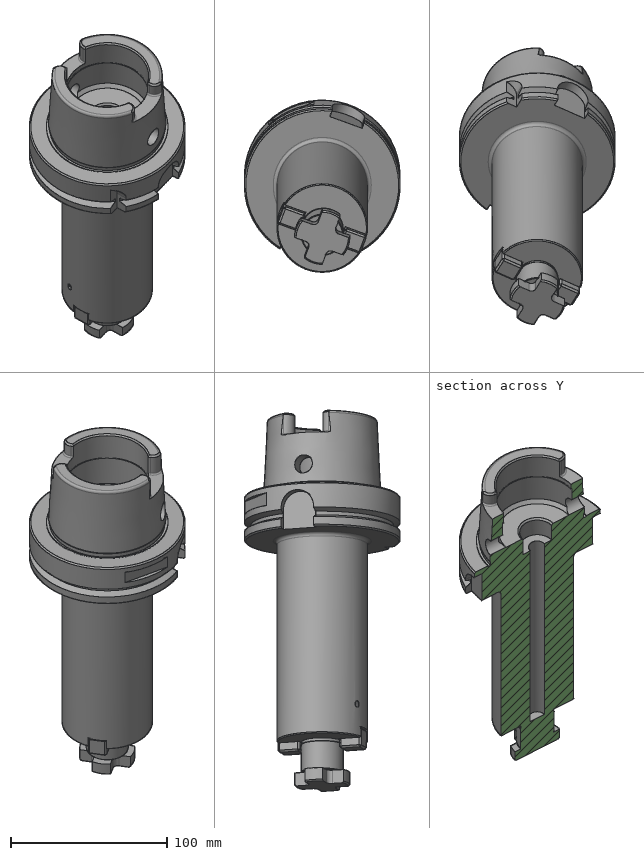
import cadquery as cq
import math

TOP = 239.0
FLANGE_TOP = 189.0
FLANGE_BOTTOM = 160.1
NOSE = 29.0
HEAD_TOP = 8.5

TAPER_BASE_R = 75.5 / 2
TAPER_RATIO = 0.05
TAPER_TOP_R = TAPER_BASE_R - TAPER_RATIO * (TOP - FLANGE_TOP)
TAPER_ROUND = 1.7
NECK_R = 37.0
NECK_HEIGHT = 2.9
NECK_FLANK = 1.0
FACE_RELIEF_R = 39.0
FACE_RELIEF_DEPTH = 0.7

BORE_R = 26.5
BORE_CHAMFER = 1.0
BORE_STRAIGHT_DEPTH = 19.0
RELIEF_R = 27.2
RELIEF_END_Z = 199.5
BORE_FLOOR_R = 24.9
BORE_FLOOR = 197.5
TUBE_THREAD_R = 11.2
TUBE_THREAD_CHAMFER = 1.2
TUBE_THREAD_DEPTH = 14.3
COOLANT_R = 5.5
CROSS_HOLE_R = 6.0
CROSS_HOLE_Z = 203.6

SLOT_HALF_WIDTH = 9.8
SLOT_CORNER_R = 5.5
SLOT_SHOULDER_X = 31.8
SLOT_INNER_X = 19.1
SLOT_OUTER_X = 40.6
SLOT_FLOOR_FILLET = 1.0
SLOT_RIM_CHAMFER = 1.2
DEEP_SLOT_DEPTH = 14.5
SHALLOW_SLOT_DEPTH = 9.8

FLANGE_R = 50.0
FLANGE_CHAMFER = 1.0
GRIP_GROOVE_Z = 169.2
GRIP_GROOVE_R = 46.0
GRIP_GROOVE_WIDTH = 6.2
GRIP_GROOVE_ROOT_WIDTH = 2.5
KEYWAY_R = 11.0
KEYWAY_Z = 173.3
KEYWAY_FLOOR_X = 44.0
NOTCH_R = 10.0
NOTCH_Z = 174.2
NOTCH_FLOOR_X = 31.3
NOTCH_WALL_Y = -31.8
LABEL_LENGTH = 32.0
LABEL_HEIGHT = 8.1
LABEL_Z = 180.7
LABEL_ANGLE = 135.0

SHANK_R = 58.0 / 2
SHANK_FILLET = 2.5
SHANK_CHAMFER = 0.7
SPIGOT_R = 27.0 / 2
SPIGOT_CHAMFER = 0.5
SPIGOT_RELIEF_DEPTH = 0.35
SPIGOT_RELIEF_HEIGHT = 2.2
HEAD_R = 17.7
HEAD_CHAMFER = 1.0
HEAD_ARM_WIDTH = 12.0
HEAD_ARM_FILLET = 3.0
SIDE_HOLE_R = 1.08
SIDE_HOLE_SINK_R = 2.2
SIDE_HOLE_X = -10.3
SIDE_HOLE_Z = 50.0
SIDE_HOLE_DEPTH = 3.5

KEY_WIDTH = 12.2
KEY_INNER_Y = SPIGOT_R
KEY_OUTER_Y = 28.2
KEY_BOTTOM = 23.0
KEY_TOP = 35.8
KEY_CHAMFER = 1.2
KEY_ANGLES = (0, 180)


def about_axis(shape, angle):
    """Copy of the shape turned about the tool axis."""
    return shape.rotate((0, 0, 0), (0, 0, 1), angle)


def revolve_outline(outline):
    """Full revolution about Z, with its seam on the -Y side."""
    return about_axis(outline.revolve(360, (0, 0, 0), (0, 1, 0)), -90)


def revolve_points(points):
    """Solid of revolution about Z from (radius, z) points."""
    return revolve_outline(cq.Workplane("XZ").polyline(points).close())


def turned_blank():
    """Outside of taper, flange, shank and spigot."""
    neck_top = FLANGE_TOP + NECK_HEIGHT
    relief_floor = FLANGE_TOP - FACE_RELIEF_DEPTH
    relief_r = SPIGOT_R - SPIGOT_RELIEF_DEPTH
    relief_bottom = NOSE - SPIGOT_RELIEF_HEIGHT
    profile = (
        cq.Workplane("XZ")
        .moveTo(0, HEAD_TOP)
        .lineTo(SPIGOT_R - SPIGOT_CHAMFER, HEAD_TOP)
        .lineTo(SPIGOT_R, HEAD_TOP + SPIGOT_CHAMFER)
        .lineTo(SPIGOT_R, relief_bottom)
        .lineTo(relief_r, relief_bottom + SPIGOT_RELIEF_DEPTH)
        .lineTo(relief_r, NOSE)
        .lineTo(SHANK_R - SHANK_CHAMFER, NOSE)
        .lineTo(SHANK_R, NOSE + SHANK_CHAMFER)
        .lineTo(SHANK_R, FLANGE_BOTTOM - SHANK_FILLET)
        .radiusArc((SHANK_R + SHANK_FILLET, FLANGE_BOTTOM), SHANK_FILLET)
        .lineTo(FLANGE_R - FLANGE_CHAMFER, FLANGE_BOTTOM)
        .lineTo(FLANGE_R, FLANGE_BOTTOM + FLANGE_CHAMFER)
        .lineTo(FLANGE_R, GRIP_GROOVE_Z - GRIP_GROOVE_WIDTH / 2)
        .lineTo(GRIP_GROOVE_R, GRIP_GROOVE_Z - GRIP_GROOVE_ROOT_WIDTH / 2)
        .lineTo(GRIP_GROOVE_R, GRIP_GROOVE_Z + GRIP_GROOVE_ROOT_WIDTH / 2)
        .lineTo(FLANGE_R, GRIP_GROOVE_Z + GRIP_GROOVE_WIDTH / 2)
        .lineTo(FLANGE_R, FLANGE_TOP - FLANGE_CHAMFER)
        .lineTo(FLANGE_R - FLANGE_CHAMFER, FLANGE_TOP)
        .lineTo(FACE_RELIEF_R, FLANGE_TOP)
        .lineTo(FACE_RELIEF_R, relief_floor)
        .lineTo(NECK_R, relief_floor)
        .lineTo(NECK_R, neck_top - NECK_FLANK)
        .lineTo(TAPER_BASE_R - TAPER_RATIO * NECK_HEIGHT, neck_top)
        .lineTo(TAPER_TOP_R + TAPER_RATIO * TAPER_ROUND, TOP - TAPER_ROUND)
        .radiusArc((TAPER_TOP_R - TAPER_ROUND, TOP), -TAPER_ROUND)
        .lineTo(0, TOP)
        .close()
    )
    return revolve_outline(profile)


def bore_cutter():
    """Stepped bore that opens at the top of the taper and ends at the nose."""
    thread_floor = BORE_FLOOR - TUBE_THREAD_DEPTH
    return revolve_points([
        (0, TOP),
        (BORE_R + BORE_CHAMFER, TOP),
        (BORE_R, TOP - BORE_CHAMFER),
        (BORE_R, TOP - BORE_STRAIGHT_DEPTH),
        (RELIEF_R, TOP - BORE_STRAIGHT_DEPTH),
        (RELIEF_R, RELIEF_END_Z),
        (BORE_FLOOR_R, BORE_FLOOR),
        (TUBE_THREAD_R + TUBE_THREAD_CHAMFER, BORE_FLOOR),
        (TUBE_THREAD_R, BORE_FLOOR - TUBE_THREAD_CHAMFER),
        (TUBE_THREAD_R, thread_floor),
        (COOLANT_R, thread_floor),
        (COOLANT_R, NOSE),
        (0, NOSE),
    ])


def cross_hole_cutter():
    """Clamping access hole across the whole taper along X."""
    return (
        cq.Workplane("YZ")
        .center(0, CROSS_HOLE_Z)
        .circle(CROSS_HOLE_R)
        .extrude(2 * TAPER_BASE_R, both=True)
    )


def drive_slot_plan(level):
    """Plan of the +X slot: a channel that flares out to a flat shoulder."""
    arc_start_x = SLOT_SHOULDER_X - SLOT_CORNER_R
    arc_end_y = SLOT_HALF_WIDTH + SLOT_CORNER_R
    return (
        cq.Workplane("XY", origin=(0, 0, level))
        .moveTo(SLOT_INNER_X, -SLOT_HALF_WIDTH)
        .lineTo(arc_start_x, -SLOT_HALF_WIDTH)
        .radiusArc((SLOT_SHOULDER_X, -arc_end_y), SLOT_CORNER_R)
        .lineTo(SLOT_SHOULDER_X, -TAPER_BASE_R)
        .lineTo(SLOT_OUTER_X, -TAPER_BASE_R)
        .lineTo(SLOT_OUTER_X, TAPER_BASE_R)
        .lineTo(SLOT_SHOULDER_X, TAPER_BASE_R)
        .lineTo(SLOT_SHOULDER_X, arc_end_y)
        .radiusArc((arc_start_x, SLOT_HALF_WIDTH), SLOT_CORNER_R)
        .lineTo(SLOT_INNER_X, SLOT_HALF_WIDTH)
        .close()
    )


def drive_slot_cutter(depth):
    """Slot on the +X side, filleted at its floor and chamfered at the rim."""
    channel = drive_slot_plan(TOP - depth).extrude(depth).faces("<Z").edges().fillet(SLOT_FLOOR_FILLET)
    rim = drive_slot_plan(TOP - SLOT_RIM_CHAMFER).extrude(2 * SLOT_RIM_CHAMFER, taper=-45)
    return channel.union(rim)


def round_ended_slot(floor_x, center_y, radius, center_z):
    """Slot open towards +X and at the flange underside, round at its upper end."""
    height = center_z - FLANGE_BOTTOM
    depth = FLANGE_R - floor_x
    plane = cq.Workplane("YZ", origin=(floor_x, center_y, center_z))
    round_end = plane.circle(radius).extrude(depth)
    straight = plane.center(0, -height / 2).rect(2 * radius, height).extrude(depth)
    return round_end.union(straight)


def label_pocket_cutter():
    """Flat-bottomed pocket whose floor is a chord of the flange rim."""
    floor_distance = math.sqrt(FLANGE_R**2 - (LABEL_LENGTH / 2) ** 2)
    pocket = cq.Workplane("XY").box(FLANGE_R, LABEL_LENGTH, LABEL_HEIGHT, centered=(False, True, True))
    return pocket.translate((floor_distance, 0, LABEL_Z)).rotate((0, 0, 0), (0, 0, 1), LABEL_ANGLE)


def side_hole_cutter():
    """Small countersunk hole in the -Y side of the shank, along Y."""
    surface_y = -math.sqrt(SHANK_R**2 - SIDE_HOLE_X**2)
    sink_depth = SIDE_HOLE_SINK_R - SIDE_HOLE_R
    start = cq.Workplane("XZ", origin=(SIDE_HOLE_X, surface_y + SIDE_HOLE_DEPTH, SIDE_HOLE_Z))
    drill = start.circle(SIDE_HOLE_R).extrude(2 * SIDE_HOLE_DEPTH)
    mouth = cq.Workplane("XZ", origin=(SIDE_HOLE_X, surface_y + sink_depth, SIDE_HOLE_Z))
    sink = mouth.circle(SIDE_HOLE_R).workplane(offset=sink_depth).circle(SIDE_HOLE_SINK_R).loft()
    rim = sink.faces("<Y").workplane().circle(SIDE_HOLE_SINK_R).extrude(SIDE_HOLE_DEPTH)
    return drill.union(rim)


def key_blank():
    """Plain block of the driving key on the -Y side."""
    block = cq.Workplane("XY").box(
        KEY_WIDTH, KEY_OUTER_Y - KEY_INNER_Y, KEY_TOP - KEY_BOTTOM, centered=(True, False, False)
    )
    return block.translate((0, -KEY_OUTER_Y, KEY_BOTTOM))


def key_seat_cutter():
    """Key seat in the shank, open to the nose and to the shank surface."""
    seat = cq.Workplane("XY").box(
        KEY_WIDTH, SHANK_R - KEY_INNER_Y, KEY_TOP - NOSE, centered=(True, False, False)
    )
    return seat.translate((0, -SHANK_R, NOSE))


def cross_head():
    """Cross-shaped head with four arms along X and Y."""
    disc = revolve_points([
        (0, 0),
        (HEAD_R - HEAD_CHAMFER, 0),
        (HEAD_R, HEAD_CHAMFER),
        (HEAD_R, HEAD_TOP),
        (0, HEAD_TOP),
    ])
    arm = cq.Workplane("XY").rect(2 * HEAD_R, HEAD_ARM_WIDTH).extrude(HEAD_TOP)
    cross = arm.union(arm.rotate((0, 0, 0), (0, 0, 1), 90))
    inner_edges = cq.selectors.BoxSelector(
        (-HEAD_ARM_WIDTH, -HEAD_ARM_WIDTH, 0), (HEAD_ARM_WIDTH, HEAD_ARM_WIDTH, HEAD_TOP)
    )
    cross = cross.edges("|Z").edges(inner_edges).fillet(HEAD_ARM_FILLET)
    return disc.intersect(cross)


def make_holder():
    """Holder with taper, flange, shank, spigot and cross head."""
    holder = turned_blank().cut(bore_cutter()).cut(cross_hole_cutter())
    holder = holder.cut(drive_slot_cutter(SHALLOW_SLOT_DEPTH))
    holder = holder.cut(about_axis(drive_slot_cutter(DEEP_SLOT_DEPTH), 180))
    keyway = round_ended_slot(KEYWAY_FLOOR_X, 0, KEYWAY_R, KEYWAY_Z)
    holder = holder.cut(keyway).cut(about_axis(keyway, 180))
    holder = holder.cut(round_ended_slot(NOTCH_FLOOR_X, NOTCH_WALL_Y - NOTCH_R, NOTCH_R, NOTCH_Z))
    holder = holder.cut(label_pocket_cutter()).cut(side_hole_cutter())
    for angle in KEY_ANGLES:
        holder = holder.cut(about_axis(key_seat_cutter(), angle))
    return holder.union(cross_head())


def make_key(angle):
    """Driving key with all edges chamfered."""
    return about_axis(key_blank().edges().chamfer(KEY_CHAMFER), angle)


holder = make_holder()
keys = [make_key(angle) for angle in KEY_ANGLES]
result = cq.Compound.makeCompound([*holder.solids().vals(), *[key.val() for key in keys]])